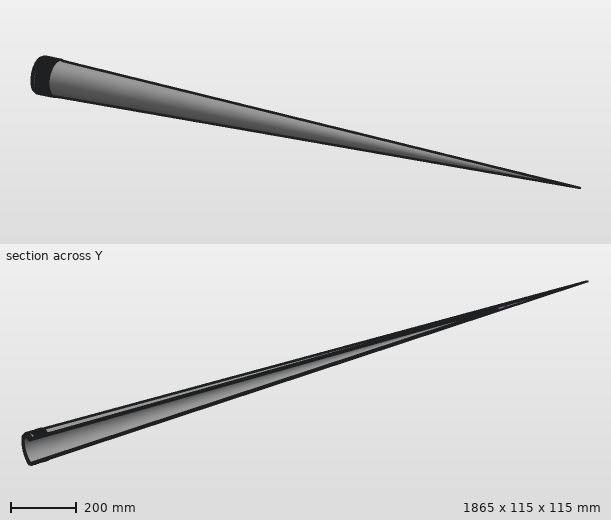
import cadquery as cq

length = 1865.0

collar_length = 65.0
collar_diameter = 115.0
lead_chamfer_length = 7.0
lead_chamfer_depth = 4.0
back_chamfer_length = 5.0

cone_diameter = 112.0
tip_diameter = 0.4

bore_diameter = 97.0
mouth_diameter = 100.0

thread_start = 17.0
thread_pitch = 6.5
thread_turns = 6.5
thread_depth = 4.0
groove_root_width = 2.0
groove_mouth_width = 4.5
cutter_overshoot = 2.0

collar_radius = collar_diameter / 2
bore_radius = bore_diameter / 2
mouth_radius = mouth_diameter / 2
mouth_chamfer_length = mouth_radius - bore_radius
cone_taper = (cone_diameter - tip_diameter) / (length - collar_length)
bore_end = mouth_chamfer_length + bore_diameter / cone_taper


def revolve_about_x(points):
    """Solid of revolution about X from (x, radius) points."""
    return cq.Workplane("XY").polyline(points).close().revolve(360, (0, 0, 0), (1, 0, 0))


def outer_body():
    """Collar chamfered at both ends, followed by the long cone."""
    return revolve_about_x([
        (0, 0),
        (0, collar_radius - lead_chamfer_depth),
        (lead_chamfer_length, collar_radius),
        (collar_length - back_chamfer_length, collar_radius),
        (collar_length, cone_diameter / 2),
        (length, tip_diameter / 2),
        (length, 0),
    ])


def bore():
    """Conical bore that ends in a point on the axis."""
    return revolve_about_x([
        (0, 0),
        (0, mouth_radius),
        (mouth_chamfer_length, bore_radius),
        (bore_end, 0),
    ])


def thread_groove():
    """Trapezoidal cutter swept along a right-hand helix that starts at +Z."""
    root_radius = collar_radius - thread_depth
    cutter_radius = collar_radius + cutter_overshoot
    half_root = groove_root_width / 2
    flank_slope = (groove_mouth_width / 2 - half_root) / thread_depth
    half_top = half_root + flank_slope * (cutter_radius - root_radius)

    helix = cq.Wire.makeHelix(thread_pitch, thread_pitch * thread_turns, collar_radius)
    cutter = (
        cq.Workplane("XZ")
        .polyline([
            (root_radius, -half_root),
            (root_radius, half_root),
            (cutter_radius, half_top),
            (cutter_radius, -half_top),
        ])
        .close()
        .sweep(cq.Workplane(obj=helix), isFrenet=True)
    )
    return (
        cutter.rotate((0, 0, 0), (0, 1, 0), 90)
        .rotate((0, 0, 0), (1, 0, 0), 180)
        .translate((thread_start, 0, 0))
    )


result = outer_body().cut(bore()).cut(thread_groove())